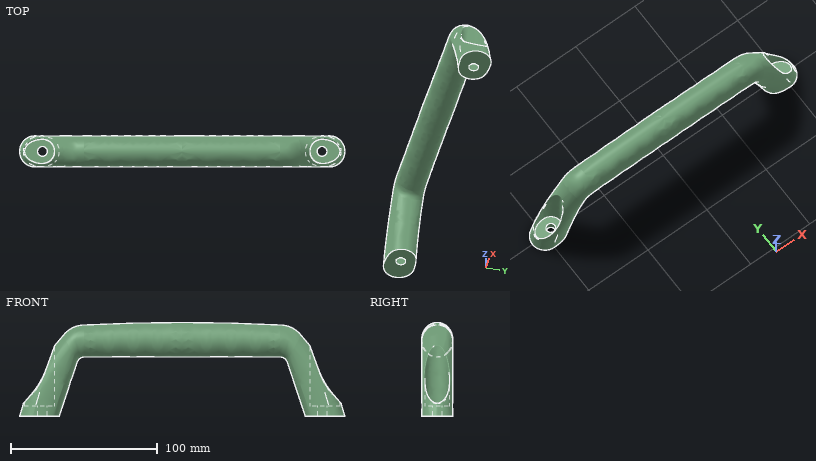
import cadquery as cq
import math

length = 221.48
width = 21.35
height = 64.0

bar_end_x = 66.6
bar_underside_z = 40.4
crown_rise = 1.7

outer_bend_radius = 18.0
outer_bend_angle = 53.0
inner_bend_radius = 5.0

ellipse_exponent = 2

foot_length = 27.1
leg_bow = 3.9
leg_top_edge_depth = 4.3
leg_top_squareness = ellipse_exponent
foot_edge_depth = 9.4
foot_squareness = 2.5

hole_x = 95.1
hole_diameter = 6.5
pocket_floor_z = 7.0
pocket_half_width = 8.3
pocket_outer_reach = 12.1
pocket_rim_radius = 0.5

span_count = 4

half_length = length / 2
half_width = width / 2
foot_inner_x = half_length - foot_length
bar_end_top_z = height - crown_rise
crown_radius = (bar_end_x**2 + crown_rise**2) / (2 * crown_rise)


def blend(start, end, t):
    return start + (end - start) * t


def blend_point(start, end, t):
    return (blend(start[0], end[0], t), blend(start[1], end[1], t))


def bend_point(radius, top_z, angle):
    """Point on a bend arc that leaves the bar end horizontally at top_z."""
    turn = math.radians(angle)
    x = bar_end_x + radius * math.sin(turn)
    z = top_z - radius * (1 - math.cos(turn))
    return (x, z)


foot_outer = (half_length, 0.0)
foot_inner = (foot_inner_x, 0.0)

inner_center_dx = foot_inner_x - bar_end_x
inner_center_dz = bar_underside_z - inner_bend_radius
inner_bend_angle = math.degrees(
    math.atan2(inner_center_dz, inner_center_dx)
    + math.asin(inner_bend_radius / math.hypot(inner_center_dx, inner_center_dz))
)
leg_top_outer = bend_point(outer_bend_radius, bar_end_top_z, outer_bend_angle)
leg_top_inner = bend_point(inner_bend_radius, bar_underside_z, inner_bend_angle)


def unit_vector(x, y):
    return cq.Vector(x, y).normalized()


def ellipse_arc(start_degrees, end_degrees, x_radius, y_radius):
    return cq.Edge.makeEllipse(x_radius, y_radius, angle1=start_degrees, angle2=end_degrees)


def boxy_curve(outer_radius, inner_radius, edge_angle, squareness):
    """Curve around the inner end, tangent to the outer ellipse where it stops at edge_angle."""
    edge_x = -outer_radius * math.cos(edge_angle)
    edge_y = half_width * math.sin(edge_angle)
    corner_share = 0.5 ** (1 / squareness)
    points = [
        cq.Vector(edge_x, -edge_y),
        cq.Vector(0, -half_width),
        cq.Vector(inner_radius * corner_share, -half_width * corner_share),
        cq.Vector(inner_radius, 0),
    ]
    tangents = [
        unit_vector(outer_radius * math.sin(edge_angle), -half_width * math.cos(edge_angle)),
        unit_vector(1, 0),
        unit_vector(inner_radius, half_width),
        unit_vector(0, 1),
    ]
    points += [cq.Vector(p.x, -p.y) for p in points[-2::-1]]
    tangents += [cq.Vector(-d.x, d.y) for d in tangents[-2::-1]]
    return cq.Edge.makeSpline(points, tangents=tangents)


def place_section(edges, outer, inner, outer_radius):
    """Put a flat outline between two XZ points, its -x end on the outer point and x toward the inner."""
    plane = cq.Plane(
        origin=(outer[0], 0, outer[1]),
        xDir=(inner[0] - outer[0], 0, inner[1] - outer[1]),
        normal=(inner[1] - outer[1], 0, outer[0] - inner[0]),
    )
    outline = cq.Wire.assembleEdges(edges)
    return outline.translate(cq.Vector(outer_radius, 0, 0)).moved(plane.location)


def oval_section(outer, inner):
    """Elliptical cross-section between two XZ points."""
    half_depth = math.dist(outer, inner) / 2
    oval = ellipse_arc(180, 540, half_depth, half_width)
    return place_section([oval], outer, inner, half_depth)


def egg_section(outer, inner, edge_depth, squareness):
    """Cross-section of an elliptical outer arc and an inner curve, meeting at two edges.

    A squareness of 2 makes the inner curve the rest of the same ellipse; more makes it boxier.
    """
    depth = math.dist(outer, inner)
    outer_radius = min(depth / 2, half_width)
    edge_angle = math.acos(1 - edge_depth / outer_radius)
    edge_degrees = math.degrees(edge_angle)
    outer_arc = ellipse_arc(180 - edge_degrees, 180 + edge_degrees, outer_radius, half_width)
    if squareness == ellipse_exponent:
        inner_curve = ellipse_arc(180 + edge_degrees, 540 - edge_degrees, outer_radius, half_width)
    else:
        inner_curve = boxy_curve(outer_radius, depth - outer_radius, edge_angle, squareness)
    return place_section([outer_arc, inner_curve], outer, inner, outer_radius)


def loft_stretch(section_at):
    wires = [section_at(step / span_count) for step in range(span_count + 1)]
    return cq.Workplane(cq.Solid.makeLoft(wires))


def bar_section(t):
    x = bar_end_x * t
    top_z = height - crown_radius + math.sqrt(crown_radius**2 - x**2)
    return oval_section((x, top_z), (x, bar_underside_z))


def bend_section(t):
    outer = bend_point(outer_bend_radius, bar_end_top_z, outer_bend_angle * t)
    inner = bend_point(inner_bend_radius, bar_underside_z, inner_bend_angle * t)
    return oval_section(outer, inner)


def leg_section(t):
    chord_x, chord_z = blend_point(leg_top_outer, foot_outer, t)
    chord_dx = foot_outer[0] - leg_top_outer[0]
    chord_dz = foot_outer[1] - leg_top_outer[1]
    chord_length = math.hypot(chord_dx, chord_dz)
    bow = 4 * leg_bow * t * (1 - t)
    outer = (chord_x - bow * chord_dz / chord_length, chord_z + bow * chord_dx / chord_length)
    inner = blend_point(leg_top_inner, foot_inner, t)
    edge_depth = blend(leg_top_edge_depth, foot_edge_depth, t)
    squareness = blend(leg_top_squareness, foot_squareness, t)
    return egg_section(outer, inner, edge_depth, squareness)


def screw_pocket():
    """Upright egg-shaped pocket, round toward the bar and elongated outward."""
    outer_arc = ellipse_arc(-90, 90, pocket_outer_reach, pocket_half_width)
    inner_arc = ellipse_arc(90, 270, pocket_half_width, pocket_half_width)
    outline = cq.Wire.assembleEdges([outer_arc, inner_arc])
    pocket = cq.Solid.extrudeLinear(outline, [], cq.Vector(0, 0, height))
    return cq.Workplane(pocket.translate(cq.Vector(hole_x, 0, pocket_floor_z)))


def screw_hole():
    return cq.Workplane("XY", origin=(hole_x, 0, 0)).circle(hole_diameter / 2).extrude(height)


def round_pocket_rim(body):
    """Round the rim where the pocket opens through the outer side of the leg.

    The rim edges are the only ones above the floor that are centred on the pocket's plane of symmetry.
    """
    rim_box = cq.selectors.BoxSelector(
        (hole_x - pocket_half_width, -hole_diameter / 2, pocket_floor_z + pocket_rim_radius),
        (half_length, hole_diameter / 2, height),
    )
    return body.edges(rim_box).fillet(pocket_rim_radius)


bar = loft_stretch(bar_section)
bend = loft_stretch(bend_section)
leg = loft_stretch(leg_section)
half_handle = bar.union(bend).union(leg)
half_handle = half_handle.cut(screw_pocket()).cut(screw_hole())
half_handle = round_pocket_rim(half_handle)
result = half_handle.union(half_handle.mirror("YZ"))